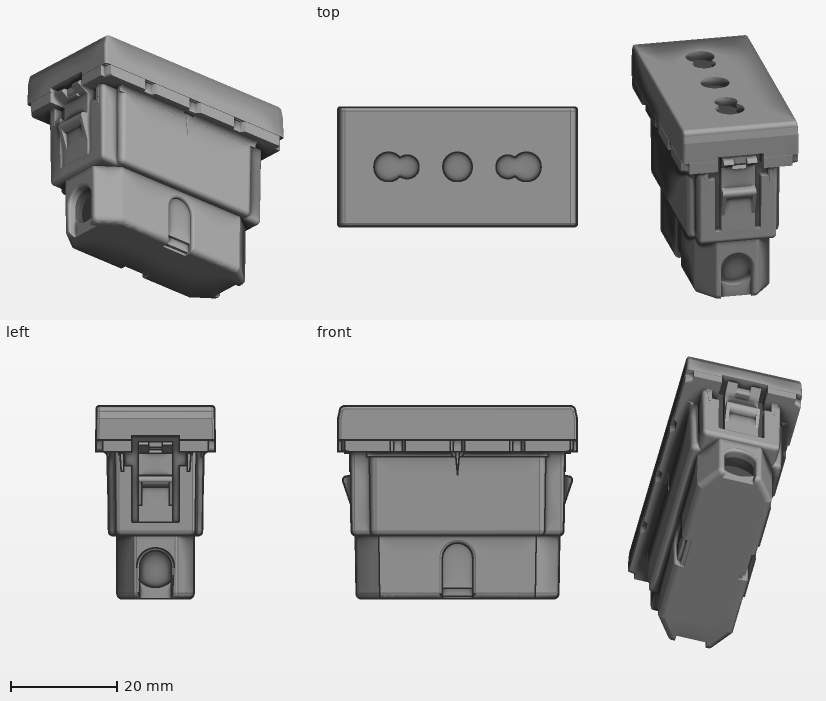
import cadquery as cq
import math

LENGTH = 45.05
WIDTH = 22.5
HEIGHT = 36.3
HALF_LENGTH = LENGTH / 2
HALF_WIDTH = WIDTH / 2
DRAFT = 0.8
CUT_MARGIN = 2.25

TERMINAL_TOP = 11.9
FLANGE_BOTTOM = 27.7
SEAM = 29.82

COVER_LEAN_START = 33.95
COVER_LEAN_END = 35.3
COVER_LEAN = 0.3
COVER_END_ROUND = 0.95
COVER_SIDE_DRAFT = 0.15
COVER_EDGE_ROUND = 0.55
SEAM_GAP_HEIGHT = 0.1
SEAM_GAP_DEPTH = 0.45
PIN_RADIUS = 2.75
SMALL_PIN_RADIUS = 2.2
PIN_SPACING = 12.97
SMALL_PIN_SPACING = 9.45
PIN_DEPTH = 1.8

FLANGE_CORNER_X = 1.25
FLANGE_CORNER_Y = 1.3
FLANGE_CORNER_SLANT = 0.55
FLANGE_END_ROUND = 0.55
NOTCH_WIDTH = 2.8
NOTCH_FLOOR_WIDTH = 1.6
NOTCH_DEPTH = 0.8
NOTCH_SPACING = 11.2

BOX_HALF_LENGTH = 19.95
BOX_HALF_WIDTH = 7.45
BOX_CORNER_ROUND = 0.5
BULGE_HALF_LENGTH = 16.4
BULGE_HALF_WIDTH = 8.85
BULGE_CORNER_ROUND = 1.0
BOX_BOTTOM_ROUND = 0.9
GUSSET_HALF_LENGTH = 17.07
GUSSET_SIZE = 1.0
END_GUSSET_SIZE = 0.55
GUSSET_ROOT = 0.45

RIB_WIDTH = 0.8
RIB_HEIGHT = 4.35
RIB_DEPTH = 0.068
END_RIB_Y = 6.2
END_RIB_TIP_WIDTH = 0.5
END_RIB_ROOT_WIDTH = 0.7
END_RIB_HEIGHT = 3.7

TERMINAL_HALF_LENGTH = 19.05
TERMINAL_HALF_WIDTH = 7.25
TERMINAL_CHAMFER_X = 4.4
TERMINAL_CHAMFER_Y = 3.25
TERMINAL_END_LEAN = 0.2
TERMINAL_EDGE_ROUND = 0.68
TERMINAL_BOTTOM_ROUND = 1.13
SLOT_LIP = 0.55
SIDE_SLOT_HALF_WIDTH = 2.85
SIDE_SLOT_SPRING = 7.65
SIDE_SLOT_DEPTH = 0.65
SIDE_SLOT_STEP_HEIGHT = 2.03
SIDE_SLOT_STEP_DEPTH = 1.25
SIDE_SLOT_FOOT_HEIGHT = 0.45
SIDE_SLOT_FOOT_DEPTH = 2.0
END_SLOT_HALF_WIDTH = 2.97
END_SLOT_SPRING = 6.1
END_SLOT_DEPTH = 1.6
CABLE_BORE_RADIUS = 3.9
CABLE_BORE_DEPTH = 2.5

POCKET_FLOOR = 18.45
POCKET_HALF_WIDTH = 4.45
POCKET_BOTTOM = 14.4
POCKET_TOP = 30.72
POCKET_BOTTOM_ROUND = 0.35
TAB_BACK = 17.55
TAB_TOP = 30.55
POCKET_WING_HALF_WIDTH = 5.8
POCKET_WING_BOTTOM = 25.1
TONGUE_HALF_WIDTH = 6.45 / 2
TONGUE_TOP = 27.45
TONGUE_FACE = 20.05
LATCH_TIP = 21.6
LATCH_TIP_HEIGHT = 22.15
LATCH_TOP = 23.25
LATCH_TOP_FALL = 0.2
LATCH_ROUND_START = 21.0
LATCH_BAR_BOTTOM = 21.05
LATCH_RIB_BOTTOM = 17.65
LATCH_RIB_WIDTH = 0.65
CATCH_TIP = 22.45
CATCH_TIP_HEIGHT = 28.88
CATCH_TOP = 29.6
CATCH_TOP_EDGE = 21.9
CATCH_GAP_HALF_WIDTH = 1.3
CATCH_MIDDLE_FACE = 21.17
CATCH_MIDDLE_WAIST = 20.8
CATCH_GROOVE_TOP = 28.5
CATCH_GROOVE_MIDDLE = 28.0

ENDS = (-1, 1)
COS_45 = math.sqrt(0.5)


def block(x_range, y_range, z_range):
    """Axis-aligned box given by its limits."""
    (x0, x1), (y0, y1), (z0, z1) = x_range, y_range, z_range
    return cq.Workplane("XY").box(x1 - x0, y1 - y0, z1 - z0, centered=False).translate((x0, y0, z0))


def end_profile(points, y_start, y_end):
    """Extrude an X-Z outline between two Y positions."""
    outline = cq.Workplane("XZ", origin=(0, y_start, 0)).polyline(points).close()
    return outline.extrude(y_start - y_end)


def both_ends(shape):
    """Shape made at -X, together with its mirror image at +X."""
    return shape.union(shape.mirror("YZ"))


def both_sides(shape):
    """Shape made at -Y, together with its mirror image at +Y."""
    return shape.union(shape.mirror("XZ"))


def pin_openings():
    """Round earth opening between two keyhole openings, each a large and a small circle."""
    floor = cq.Workplane("XY", origin=(0, 0, HEIGHT - PIN_DEPTH))
    height = PIN_DEPTH + CUT_MARGIN
    tool = floor.circle(PIN_RADIUS).extrude(height)
    for end in ENDS:
        large = floor.center(end * PIN_SPACING, 0).circle(PIN_RADIUS).extrude(height)
        small = floor.center(end * SMALL_PIN_SPACING, 0).circle(SMALL_PIN_RADIUS).extrude(height)
        tool = tool.union(large).union(small)
    return tool


def seam_gap():
    """Shallow shadow gap around the lower edge of the cover."""
    z_range = (SEAM, SEAM + SEAM_GAP_HEIGHT)
    outer = block((-HALF_LENGTH, HALF_LENGTH), (-HALF_WIDTH, HALF_WIDTH), z_range)
    x, y = HALF_LENGTH - SEAM_GAP_DEPTH, HALF_WIDTH - SEAM_GAP_DEPTH
    return outer.cut(block((-x, x), (-y, y), z_range))


def make_cover():
    """Cover plate: the long section and the cross section intersected, then edge-rounded and cut."""
    lean_x = HALF_LENGTH - COVER_LEAN
    top_x = lean_x - COVER_END_ROUND
    arc_x = top_x + COVER_END_ROUND * COS_45
    arc_z = COVER_LEAN_END + (HEIGHT - COVER_LEAN_END) * COS_45
    long_section = (
        cq.Workplane("XZ", origin=(0, HALF_WIDTH, 0))
        .moveTo(-HALF_LENGTH, SEAM)
        .lineTo(HALF_LENGTH, SEAM)
        .lineTo(HALF_LENGTH, COVER_LEAN_START)
        .lineTo(lean_x, COVER_LEAN_END)
        .threePointArc((arc_x, arc_z), (top_x, HEIGHT))
        .lineTo(-top_x, HEIGHT)
        .threePointArc((-arc_x, arc_z), (-lean_x, COVER_LEAN_END))
        .lineTo(-HALF_LENGTH, COVER_LEAN_START)
        .close()
        .extrude(WIDTH)
    )
    top_y = HALF_WIDTH - COVER_SIDE_DRAFT
    cross_section = (
        cq.Workplane("YZ", origin=(-HALF_LENGTH, 0, 0))
        .polyline([(-HALF_WIDTH, SEAM), (HALF_WIDTH, SEAM), (top_y, HEIGHT), (-top_y, HEIGHT)])
        .close()
        .extrude(LENGTH)
    )
    cover = long_section.intersect(cross_section)
    outer_edges = cover.faces("<Y or >Y").edges("not <Z")
    cover = outer_edges.fillet(COVER_EDGE_ROUND)
    return cover.cut(pin_openings()).cut(seam_gap()).cut(both_ends(latch_pocket(TAB_BACK)))


def latch_pocket(floor):
    """T-shaped recess that runs up from the main box, through the flange, into the cover."""
    depth_range = (-HALF_LENGTH - CUT_MARGIN, -floor)
    shaft = block(depth_range, (-POCKET_HALF_WIDTH, POCKET_HALF_WIDTH), (POCKET_BOTTOM, POCKET_TOP))
    shaft = shaft.edges("|X and <Z").fillet(POCKET_BOTTOM_ROUND)
    wing_y = (-POCKET_WING_HALF_WIDTH, POCKET_WING_HALF_WIDTH)
    wings = block(depth_range, wing_y, (POCKET_WING_BOTTOM, FLANGE_BOTTOM))
    return shaft.union(wings)


def pocket_tab():
    """Tab of the housing that carries the pocket floor up into the cover."""
    return block((-POCKET_FLOOR, -TAB_BACK), (-POCKET_HALF_WIDTH, POCKET_HALF_WIDTH), (SEAM, TAB_TOP))


def latch_tongue():
    """Spring tongue with a rounded latch bar carried by a rib at each side."""
    tongue_y = (-TONGUE_HALF_WIDTH, TONGUE_HALF_WIDTH)
    tongue = block((-TONGUE_FACE, -POCKET_FLOOR), tongue_y, (POCKET_BOTTOM, TONGUE_TOP))
    bar = (
        cq.Workplane("XZ", origin=(0, TONGUE_HALF_WIDTH, 0))
        .moveTo(-POCKET_FLOOR, LATCH_BAR_BOTTOM)
        .lineTo(-POCKET_FLOOR, LATCH_TOP)
        .lineTo(-TONGUE_FACE, LATCH_TOP)
        .lineTo(-LATCH_ROUND_START, LATCH_TOP - LATCH_TOP_FALL)
        .tangentArcPoint((-LATCH_TIP, LATCH_TIP_HEIGHT), relative=False)
        .tangentArcPoint((-TONGUE_FACE, LATCH_BAR_BOTTOM), relative=False)
        .close()
        .extrude(2 * TONGUE_HALF_WIDTH)
    )
    rib_outline = [
        (-TONGUE_FACE, LATCH_RIB_BOTTOM),
        (-LATCH_TIP, LATCH_TIP_HEIGHT),
        (-POCKET_FLOOR, LATCH_TIP_HEIGHT),
        (-POCKET_FLOOR, LATCH_RIB_BOTTOM),
    ]
    rib = end_profile(rib_outline, -TONGUE_HALF_WIDTH, LATCH_RIB_WIDTH - TONGUE_HALF_WIDTH)
    return tongue.union(bar).union(both_sides(rib))


def cover_catches():
    """Two pointed catches above the tongue, joined by a lower block between them."""
    catch_outline = [
        (-POCKET_FLOOR, CATCH_TOP),
        (-CATCH_TOP_EDGE, CATCH_TOP),
        (-CATCH_TIP, CATCH_TIP_HEIGHT),
        (-TONGUE_FACE, TONGUE_TOP),
        (-POCKET_FLOOR, TONGUE_TOP),
    ]
    catch = end_profile(catch_outline, -TONGUE_HALF_WIDTH, -CATCH_GAP_HALF_WIDTH)
    middle_outline = [
        (-POCKET_FLOOR, CATCH_TOP),
        (-CATCH_MIDDLE_FACE, CATCH_TOP),
        (-CATCH_MIDDLE_FACE, CATCH_GROOVE_TOP),
        (-CATCH_MIDDLE_WAIST, CATCH_GROOVE_MIDDLE),
        (-CATCH_MIDDLE_FACE, TONGUE_TOP),
        (-POCKET_FLOOR, TONGUE_TOP),
    ]
    middle = end_profile(middle_outline, -CATCH_GAP_HALF_WIDTH, CATCH_GAP_HALF_WIDTH)
    return both_sides(catch).union(middle)


def drafted_box(half_length, half_width, corner_round):
    """Box from the terminal block up to the flange, widening upward, with rounded edges."""
    outline = cq.Sketch().rect(2 * half_length, 2 * half_width).vertices().fillet(corner_round)
    body = cq.Workplane("XY", origin=(0, 0, TERMINAL_TOP)).placeSketch(outline)
    body = body.extrude(FLANGE_BOTTOM - TERMINAL_TOP, taper=-DRAFT)
    return body.faces("<Z").edges().fillet(BOX_BOTTOM_ROUND)


def flared(half_size):
    """Half size of a drafted box where it meets the flange."""
    return half_size + (FLANGE_BOTTOM - TERMINAL_TOP) * math.tan(math.radians(DRAFT))


def gusset(wall_distance, size, half_length):
    """Hollow-rounded gusset between the flange and a wall on the -Y side."""
    wall = -wall_distance
    low = FLANGE_BOTTOM - size
    middle = size * (1 - COS_45)
    return (
        cq.Workplane("YZ", origin=(-half_length, 0, 0))
        .moveTo(wall + GUSSET_ROOT, low)
        .lineTo(wall, low)
        .threePointArc((wall - middle, FLANGE_BOTTOM - middle), (wall - size, FLANGE_BOTTOM))
        .lineTo(wall + GUSSET_ROOT, FLANGE_BOTTOM)
        .close()
        .extrude(2 * half_length)
    )


def side_gusset():
    """Gusset under the long edge of the flange, with a tapering gap in the middle."""
    wall = flared(BULGE_HALF_WIDTH)
    low = FLANGE_BOTTOM - GUSSET_SIZE
    gap_outline = [
        (-NOTCH_WIDTH / 2, FLANGE_BOTTOM),
        (NOTCH_WIDTH / 2, FLANGE_BOTTOM),
        (NOTCH_FLOOR_WIDTH / 2, low),
        (-NOTCH_FLOOR_WIDTH / 2, low),
    ]
    gap = end_profile(gap_outline, -wall - CUT_MARGIN, -wall)
    return gusset(wall, GUSSET_SIZE, GUSSET_HALF_LENGTH).cut(gap)


def end_gusset():
    """Smaller gusset under the -X end of the flange."""
    half_length = BOX_HALF_WIDTH - BOX_CORNER_ROUND
    body = gusset(flared(BOX_HALF_LENGTH), END_GUSSET_SIZE, half_length)
    return body.rotate((0, 0, 0), (0, 0, 1), -90)


def flange_plate(outline):
    """Plan outline extruded through the thickness of the flange."""
    plan = cq.Workplane("XY", origin=(0, 0, FLANGE_BOTTOM)).polyline(outline).close()
    return plan.extrude(SEAM - FLANGE_BOTTOM)


def flange_notch(x):
    """Flared notch in the -Y edge of the flange."""
    half, floor_half = NOTCH_WIDTH / 2, NOTCH_FLOOR_WIDTH / 2
    floor_y = -HALF_WIDTH + NOTCH_DEPTH
    outline = [
        (x - half, -HALF_WIDTH),
        (x + half, -HALF_WIDTH),
        (x + floor_half, floor_y),
        (x - floor_half, floor_y),
    ]
    return flange_plate(outline)


def make_flange():
    """Flange plate: a wide plate with slanted ends crossed by a long one, which relieves the corners."""
    edge_x = HALF_LENGTH - FLANGE_CORNER_X
    end_x = edge_x + FLANGE_CORNER_SLANT
    end_y = HALF_WIDTH - FLANGE_CORNER_Y
    outline = [
        (-edge_x, -HALF_WIDTH), (edge_x, -HALF_WIDTH), (end_x, -end_y), (end_x, end_y),
        (edge_x, HALF_WIDTH), (-edge_x, HALF_WIDTH), (-end_x, end_y), (-end_x, -end_y),
    ]
    wide = flange_plate(outline)
    wide = wide.faces("<Z").edges("not |X").fillet(FLANGE_END_ROUND)
    flange = wide.union(block((-HALF_LENGTH, HALF_LENGTH), (-end_y, end_y), (FLANGE_BOTTOM, SEAM)))
    for x in (-NOTCH_SPACING, 0, NOTCH_SPACING):
        flange = flange.cut(both_sides(flange_notch(x)))
    return flange


def side_rib():
    """Tapering crush rib in the middle of the -Y wall."""
    outline = [
        (-RIB_WIDTH / 2, FLANGE_BOTTOM),
        (RIB_WIDTH / 2, FLANGE_BOTTOM),
        (0, FLANGE_BOTTOM - RIB_HEIGHT),
    ]
    return end_profile(outline, -flared(BULGE_HALF_WIDTH) - RIB_DEPTH, -BULGE_HALF_WIDTH)


def end_ribs():
    """Pair of tapering crush ribs on the -X wall, beside the latch pocket."""
    face = flared(BOX_HALF_LENGTH)
    inner_y = -END_RIB_Y + END_RIB_TIP_WIDTH / 2
    outline = [
        (inner_y, FLANGE_BOTTOM),
        (inner_y - END_RIB_ROOT_WIDTH, FLANGE_BOTTOM),
        (inner_y - END_RIB_TIP_WIDTH, FLANGE_BOTTOM - END_RIB_HEIGHT),
        (inner_y, FLANGE_BOTTOM - END_RIB_HEIGHT),
    ]
    rib = cq.Workplane("YZ", origin=(-face - RIB_DEPTH, 0, 0)).polyline(outline).close()
    return both_sides(rib.extrude(face + RIB_DEPTH - BOX_HALF_LENGTH + GUSSET_ROOT))


def slot_rim(half_width, spring, face):
    """Section of the material removed where a slot rim is rounded, at the spring of the arch."""
    middle = SLOT_LIP * (1 - COS_45)
    return (
        cq.Workplane("XY", origin=(0, face, spring))
        .moveTo(half_width - SLOT_LIP, SLOT_LIP)
        .lineTo(half_width, SLOT_LIP)
        .threePointArc((half_width + middle, middle), (half_width + SLOT_LIP, 0))
        .lineTo(half_width + SLOT_LIP, -SLOT_LIP)
        .lineTo(half_width - SLOT_LIP, -SLOT_LIP)
        .close()
    )


def arched_tool(half_width, spring, face, depth):
    """Arched slot tool with a rounded rim, open at the bottom, cutting into a face at Y = face."""
    slot = (
        cq.Workplane("XZ", origin=(0, face - CUT_MARGIN, 0))
        .moveTo(-half_width, -CUT_MARGIN)
        .lineTo(-half_width, spring)
        .threePointArc((0, spring + half_width), (half_width, spring))
        .lineTo(half_width, -CUT_MARGIN)
        .close()
        .extrude(-CUT_MARGIN - depth)
    )
    rim_leg = slot_rim(half_width, spring, face).extrude(-spring - CUT_MARGIN)
    rim_arch = slot_rim(half_width, spring, face).revolve(360, (0, 0, 0), (0, 1, 0))
    return slot.union(rim_arch).union(both_ends(rim_leg))


def terminal_outline(length):
    """Corners of the terminal block in plan, for a given half length."""
    width = TERMINAL_HALF_WIDTH
    flat_x, flat_y = length - TERMINAL_CHAMFER_X, width - TERMINAL_CHAMFER_Y
    return [
        (-length, -flat_y), (-flat_x, -width), (flat_x, -width), (length, -flat_y),
        (length, flat_y), (flat_x, width), (-flat_x, width), (-length, flat_y),
    ]


def make_terminal_block():
    """Eight-sided block, longer at the top, with an arched cable slot in each of its four main faces."""
    body = (
        cq.Workplane("XY")
        .polyline(terminal_outline(TERMINAL_HALF_LENGTH))
        .close()
        .workplane(offset=TERMINAL_TOP)
        .polyline(terminal_outline(TERMINAL_HALF_LENGTH + TERMINAL_END_LEAN))
        .close()
        .loft(ruled=True)
    )
    body = body.faces("<X or >X").edges("not #Z").fillet(TERMINAL_EDGE_ROUND)
    body = body.faces("<Z").edges().fillet(TERMINAL_BOTTOM_ROUND)

    wall = -TERMINAL_HALF_WIDTH
    side = arched_tool(SIDE_SLOT_HALF_WIDTH, SIDE_SLOT_SPRING, wall, SIDE_SLOT_DEPTH)
    step_x = (-SIDE_SLOT_HALF_WIDTH, SIDE_SLOT_HALF_WIDTH)
    step_y = (wall, wall + SIDE_SLOT_STEP_DEPTH)
    side = side.union(block(step_x, step_y, (-CUT_MARGIN, SIDE_SLOT_STEP_HEIGHT)))
    foot_y = (wall, wall + SIDE_SLOT_FOOT_DEPTH)
    side = side.union(block(step_x, foot_y, (-CUT_MARGIN, SIDE_SLOT_FOOT_HEIGHT)))
    body = body.cut(both_sides(side))

    end_face = -TERMINAL_HALF_LENGTH - TERMINAL_END_LEAN / 2
    end = arched_tool(END_SLOT_HALF_WIDTH, END_SLOT_SPRING, end_face, END_SLOT_DEPTH)
    end = end.rotate((0, 0, 0), (0, 0, 1), -90)
    bore = (
        cq.Workplane("YZ", origin=(end_face + END_SLOT_DEPTH, 0, END_SLOT_SPRING))
        .circle(CABLE_BORE_RADIUS)
        .extrude(CABLE_BORE_DEPTH)
    )
    return body.cut(both_ends(end.union(bore)))


def make_housing():
    """Housing: terminal block, main box and flange, with the latches at both ends."""
    main_box = drafted_box(BOX_HALF_LENGTH, BOX_HALF_WIDTH, BOX_CORNER_ROUND)
    bulge = drafted_box(BULGE_HALF_LENGTH, BULGE_HALF_WIDTH, BULGE_CORNER_ROUND)
    housing = make_terminal_block().union(main_box).union(bulge).union(make_flange())
    housing = housing.union(both_sides(side_gusset())).union(both_ends(end_gusset()))
    housing = housing.union(both_sides(side_rib())).union(both_ends(end_ribs()))
    housing = housing.cut(both_ends(latch_pocket(POCKET_FLOOR))).union(both_ends(pocket_tab()))
    return housing.union(both_ends(latch_tongue())).union(both_ends(cover_catches()))


cover = make_cover()
housing = make_housing()
result = cq.Compound.makeCompound([cover.val(), housing.val()])